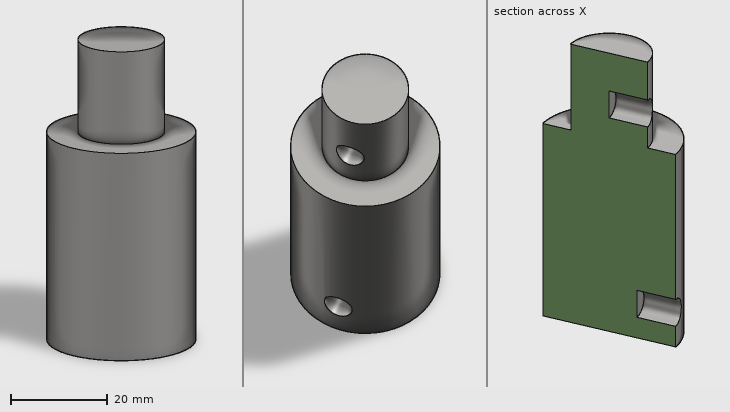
import cadquery as cq

total_height = 65.0
body_diameter = 31.0
pin_diameter = 18.0
pin_height = 20.0
body_height = total_height - pin_height

hole_diameter = 6.2
body_hole_z = 8.0
pin_hole_z = 53.0
hole_depth = pin_diameter / 2


def radial_hole(outer_diameter, height):
    """Cutter reaching hole_depth inward from the +Y side of a cylinder."""
    return (
        cq.Workplane("XZ", origin=(0, outer_diameter / 2, height))
        .circle(hole_diameter / 2)
        .extrude(hole_depth)
    )


body = cq.Workplane("XY").circle(body_diameter / 2).extrude(body_height)
pin = (
    cq.Workplane("XY")
    .workplane(offset=body_height)
    .circle(pin_diameter / 2)
    .extrude(pin_height)
)

result = body.union(pin)
result = result.cut(radial_hole(body_diameter, body_hole_z))
result = result.cut(radial_hole(pin_diameter, pin_hole_z))